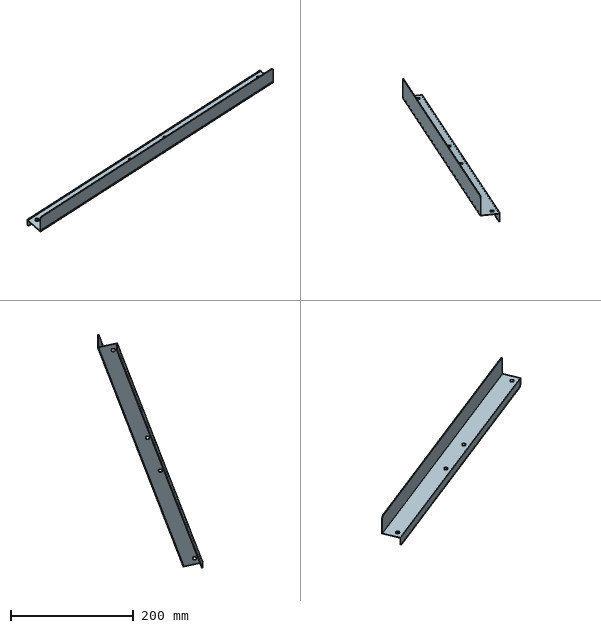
import cadquery as cq

length = 500.0
width = 33.5
height = 49.5

thickness = 1.5
lip_height = 16.5
corner_chamfer = 3.0

hole_diameter = 6.5
hole_inset = 10.5
hole_end_inset = 12.5
inner_hole_spacing = 75.0


def z_section():
    """Constant Z profile: lip down on the left, flange up on the right."""
    web_bottom = lip_height - thickness
    outline = [
        (0, 0),
        (thickness, 0),
        (thickness, web_bottom),
        (width, web_bottom),
        (width, height),
        (width - thickness, height),
        (width - thickness, lip_height),
        (0, lip_height),
    ]
    return cq.Workplane("XZ").polyline(outline).close().extrude(length / 2, both=True)


def chamfer_free_corners(body):
    """Bevel the end corners of the lip and of the upright flange."""
    body = body.faces("<Z").edges("|X").chamfer(corner_chamfer)
    return body.faces(">Z").edges("|X").chamfer(corner_chamfer)


def mounting_holes():
    """Cutters for two end holes and two inner holes, symmetric about mid-length."""
    end_offset = length / 2 - hole_end_inset
    inner_offset = inner_hole_spacing / 2
    centers = [
        (hole_inset, side * offset)
        for offset in (end_offset, inner_offset)
        for side in (-1, 1)
    ]
    return cq.Workplane("XY").pushPoints(centers).circle(hole_diameter / 2).extrude(height)


result = chamfer_free_corners(z_section()).cut(mounting_holes())